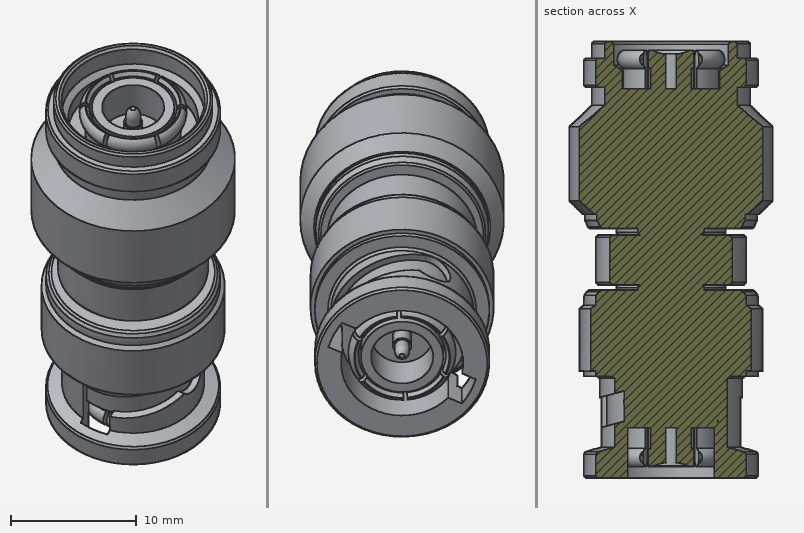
import cadquery as cq
import math

LENGTH = 34.7
CUT_REACH = 10.4
CUT_OVERLAP = 0.17

NUT_R = 16.2 / 2
NUT_NECK_R = 6.3
NUT_COLLAR_R = 6.95
NUT_TAIL_R = 6.87
NUT_CONE_END_R = 7.0
NUT_COLLAR_TOP_Z = 33.38
NUT_COLLAR_BOTTOM_Z = 31.05
NUT_SHOULDER_TOP_Z = 29.65
NUT_BODY_TOP_Z = 27.95
NUT_BODY_BOTTOM_Z = 22.05
NUT_TAIL_TOP_Z = 20.95
NUT_BOTTOM_Z = 19.8
NUT_TAIL_STEPS = ((6.45, 0), (6.63, 0.15), (6.75, 0.52), (NUT_TAIL_R, 0.65))

NECK_R = 4.37
NECK_WAIST_R = 4.27
NECK_TAPER = 0.2
RING_R = 11.97 / 2
RING_TOP_Z = 19.33
RING_BOTTOM_Z = 15.35
RING_CHAMFER = 0.2

SLEEVE_R = 7.3
SLEEVE_RIM_R = 6.95
SLEEVE_TOP_Z = 14.95
SLEEVE_TOP_STEPS = ((SLEEVE_RIM_R, 0.75), (6.9, 0.4), (6.7, 0.15), (6.5, 0))
SLEEVE_STEP_Z = 13.75
SLEEVE_BODY_TOP_Z = 13.45
SLEEVE_BODY_BOTTOM_Z = 8.5
SLEEVE_BOTTOM_Z = 8.1
BARREL_R = 11.35 / 2
BARREL_ROOT_R = 5.9
BARREL_FLARE_Z = 7.9
FLANGE_R = 6.95
FLANGE_TOP_Z = 2.45
FLANGE_CONE_R = 6.8
FLANGE_CONE_Z = 2.08
FLANGE_SIDE_Z = 1.87
EDGE = 0.17

MOUTH_R = 5.9
MOUTH_DEPTH = 0.2
BORE_R = 5.7
CONE_TOP_Z = 32.83
WELL_R = 5.17
CONE_BOTTOM_Z = 32.4
WELL_FLOOR_Z = 30.95

SOCKET_R = 4.85
SOCKET_DEPTH = 4.0

FINGER_INNER_R = 3.47
FINGER_TIP_INNER_R = 3.75
FINGER_LEAD_IN = 0.3
FINGER_TIP_R = 3.8
FINGER_BULGE_R = 4.27
BULGE_HALF_LENGTH = 0.73
FINGER_COUNT = 6
SLIT_WIDTH = 0.3
TOP_TIP_RECESS = 0.7
BOTTOM_TIP_RECESS = 0.9
INSULATOR_R = 3.25
INSULATOR_RECESS = 0.97
INSULATOR_BORE_R = 2.45
INSULATOR_BORE_FLOOR = 4.25
PIN_BASE_R = 0.73
PIN_R = 0.6
PIN_TIP_R = 0.2
PIN_RECESS = 1.1
PIN_NOSE_LENGTH = 0.7
PIN_NOSE_CURVE_R = 0.97
PIN_LENGTH = 1.55

SLOT_FLOOR_R = 5.1
ENTRY_WIDTH = 2.5
ENTRY_R = 6.05
LOCK_HOLE_R = 3.23 / 2
LOCK_HOLE_Z = 6.25
RAMP_ANGLE = 15.0
RAMP_WIDTH = 2.32


def revolve_profile(profile):
    """Revolve a closed radius/height outline about the Z axis."""
    return profile.close().revolve(360, (0, 0, 0), (0, 1, 0))


def ring(inner_r, outer_r, bottom_z, top_z):
    """Tube around the Z axis."""
    base = cq.Workplane("XY").workplane(offset=bottom_z)
    return base.circle(outer_r).circle(inner_r).extrude(top_z - bottom_z)


def disc(radius, bottom_z, top_z):
    """Solid cylinder around the Z axis."""
    return cq.Workplane("XY").workplane(offset=bottom_z).circle(radius).extrude(top_z - bottom_z)


def outer_body():
    """Solid of revolution with the complete outer silhouette."""
    sleeve_top = [(radius, SLEEVE_TOP_Z - depth) for radius, depth in SLEEVE_TOP_STEPS]
    nut_tail = [(radius, NUT_BOTTOM_Z + height) for radius, height in NUT_TAIL_STEPS]
    profile = (
        cq.Workplane("XZ")
        .moveTo(0, 0)
        .lineTo(FLANGE_R - EDGE, 0)
        .lineTo(FLANGE_R, EDGE)
        .lineTo(FLANGE_R, FLANGE_SIDE_Z)
        .lineTo(FLANGE_CONE_R, FLANGE_CONE_Z)
        .lineTo(BARREL_R, FLANGE_TOP_Z)
        .lineTo(BARREL_R, BARREL_FLARE_Z)
        .lineTo(BARREL_ROOT_R, SLEEVE_BOTTOM_Z)
        .lineTo(SLEEVE_RIM_R, SLEEVE_BOTTOM_Z)
        .lineTo(SLEEVE_RIM_R, SLEEVE_BODY_BOTTOM_Z)
        .lineTo(SLEEVE_R, SLEEVE_BODY_BOTTOM_Z)
        .lineTo(SLEEVE_R, SLEEVE_BODY_TOP_Z)
        .lineTo(SLEEVE_RIM_R, SLEEVE_STEP_Z)
        .polyline(sleeve_top, includeCurrent=True)
        .lineTo(NECK_R, SLEEVE_TOP_Z)
        .lineTo(NECK_R, RING_BOTTOM_Z - NECK_TAPER)
        .lineTo(NECK_WAIST_R, RING_BOTTOM_Z)
        .lineTo(RING_R - RING_CHAMFER, RING_BOTTOM_Z)
        .lineTo(RING_R, RING_BOTTOM_Z + RING_CHAMFER)
        .lineTo(RING_R, RING_TOP_Z - RING_CHAMFER)
        .lineTo(RING_R - RING_CHAMFER, RING_TOP_Z)
        .lineTo(NECK_WAIST_R, RING_TOP_Z)
        .lineTo(NECK_R, RING_TOP_Z + NECK_TAPER)
        .lineTo(NECK_R, NUT_BOTTOM_Z)
        .polyline(nut_tail, includeCurrent=True)
        .lineTo(NUT_TAIL_R, NUT_TAIL_TOP_Z)
        .lineTo(NUT_CONE_END_R, NUT_TAIL_TOP_Z)
        .lineTo(NUT_R, NUT_BODY_BOTTOM_Z)
        .lineTo(NUT_R, NUT_BODY_TOP_Z)
        .lineTo(NUT_NECK_R, NUT_SHOULDER_TOP_Z)
        .lineTo(NUT_NECK_R, NUT_COLLAR_BOTTOM_Z)
        .lineTo(NUT_COLLAR_R - EDGE, NUT_COLLAR_BOTTOM_Z)
        .lineTo(NUT_COLLAR_R, NUT_COLLAR_BOTTOM_Z + EDGE)
        .lineTo(NUT_COLLAR_R, NUT_COLLAR_TOP_Z - EDGE)
        .lineTo(NUT_COLLAR_R - EDGE, NUT_COLLAR_TOP_Z)
        .lineTo(NUT_NECK_R, NUT_COLLAR_TOP_Z)
        .lineTo(NUT_NECK_R, LENGTH - EDGE)
        .lineTo(NUT_NECK_R - EDGE, LENGTH)
        .lineTo(0, LENGTH)
    )
    return revolve_profile(profile)


def top_socket():
    """Cutter for the stepped bore at the top."""
    profile = (
        cq.Workplane("XZ")
        .moveTo(0, LENGTH)
        .lineTo(MOUTH_R, LENGTH)
        .lineTo(BORE_R, LENGTH - MOUTH_DEPTH)
        .lineTo(BORE_R, CONE_TOP_Z)
        .lineTo(WELL_R, CONE_BOTTOM_Z)
        .lineTo(WELL_R, WELL_FLOOR_Z)
        .lineTo(0, WELL_FLOOR_Z)
    )
    return revolve_profile(profile)


def contact(tip_recess, floor_depth):
    """Spring fingers, insulator and pin for the top end, with the bore to clear for the pin."""
    root_z = LENGTH - floor_depth
    tip_z = LENGTH - tip_recess
    fingers = revolve_profile(
        cq.Workplane("XZ")
        .moveTo(FINGER_INNER_R, root_z)
        .lineTo(FINGER_TIP_R, root_z)
        .lineTo(FINGER_TIP_R, tip_z - 2 * BULGE_HALF_LENGTH)
        .threePointArc((FINGER_BULGE_R, tip_z - BULGE_HALF_LENGTH), (FINGER_TIP_R, tip_z))
        .lineTo(FINGER_TIP_INNER_R, tip_z)
        .lineTo(FINGER_INNER_R, tip_z - FINGER_LEAD_IN)
    )
    for index in range(FINGER_COUNT // 2):
        slit = (
            cq.Workplane("XY")
            .box(SLIT_WIDTH, 2 * CUT_REACH, floor_depth, centered=(True, True, False))
            .translate((0, 0, root_z))
            .rotate((0, 0, 0), (0, 0, 1), index * 360 / FINGER_COUNT)
        )
        fingers = fingers.cut(slit)

    bore_floor_z = LENGTH - INSULATOR_BORE_FLOOR
    insulator = ring(INSULATOR_BORE_R, INSULATOR_R, bore_floor_z, LENGTH - INSULATOR_RECESS)

    pin_tip_z = LENGTH - PIN_RECESS
    pin = revolve_profile(
        cq.Workplane("XZ")
        .moveTo(0, bore_floor_z)
        .lineTo(PIN_BASE_R, bore_floor_z)
        .lineTo(PIN_BASE_R, pin_tip_z - PIN_LENGTH)
        .lineTo(PIN_R, pin_tip_z - PIN_LENGTH)
        .lineTo(PIN_R, pin_tip_z - PIN_NOSE_LENGTH)
        .radiusArc((PIN_TIP_R, pin_tip_z), -PIN_NOSE_CURVE_R)
        .lineTo(0, pin_tip_z)
    )
    bore = disc(INSULATOR_BORE_R, bore_floor_z, LENGTH)
    return fingers, insulator, pin, bore


def bayonet_slot():
    """Cutter for one lug track: entry on the +Y side, ramp and lock hole on the -X side."""
    entry_box = cq.Workplane("XY").box(ENTRY_WIDTH, CUT_REACH, CUT_REACH, centered=(True, False, True))
    entry = (
        ring(SOCKET_R - CUT_OVERLAP, ENTRY_R, 0, SOCKET_DEPTH)
        .union(ring(SLOT_FLOOR_R, ENTRY_R, 0, LOCK_HOLE_Z - LOCK_HOLE_R))
        .intersect(entry_box)
    )
    slope = math.tan(math.radians(RAMP_ANGLE))
    stretch = 1 / math.cos(math.radians(RAMP_ANGLE))
    top_z = LOCK_HOLE_Z + LOCK_HOLE_R * stretch
    bottom_z = top_z - RAMP_WIDTH * stretch
    tangent_y = LOCK_HOLE_R * math.sin(math.radians(RAMP_ANGLE))
    plane = cq.Workplane("YZ").workplane(offset=ENTRY_WIDTH / 2)
    ramp = (
        plane.moveTo(tangent_y, bottom_z - slope * tangent_y)
        .lineTo(tangent_y, top_z - slope * tangent_y)
        .lineTo(BARREL_R, top_z - slope * BARREL_R)
        .lineTo(BARREL_R, bottom_z - slope * BARREL_R)
        .close()
        .extrude(-CUT_REACH)
    )
    lock_hole = plane.center(0, LOCK_HOLE_Z).circle(LOCK_HOLE_R).extrude(-CUT_REACH)
    track = ramp.union(lock_hole).intersect(ring(SLOT_FLOOR_R, ENTRY_R, 0, SLEEVE_BOTTOM_Z))
    return entry.union(track)


def flip(shape):
    """Turn a top-end shape over so that it serves the bottom end."""
    middle = (0, 0, LENGTH / 2)
    return shape.rotate(middle, (1, 0, LENGTH / 2), 180)


top_parts = contact(TOP_TIP_RECESS, LENGTH - WELL_FLOOR_Z)
bottom_parts = [flip(part) for part in contact(BOTTOM_TIP_RECESS, SOCKET_DEPTH)]
bottom_socket = disc(SOCKET_R, 0, SOCKET_DEPTH)

result = outer_body().cut(top_socket()).cut(bottom_socket)
for fingers, insulator, pin, bore in (top_parts, bottom_parts):
    result = result.cut(bore).union(fingers).union(insulator).union(pin)
for turn in (0, 180):
    result = result.cut(bayonet_slot().rotate((0, 0, 0), (0, 0, 1), turn))